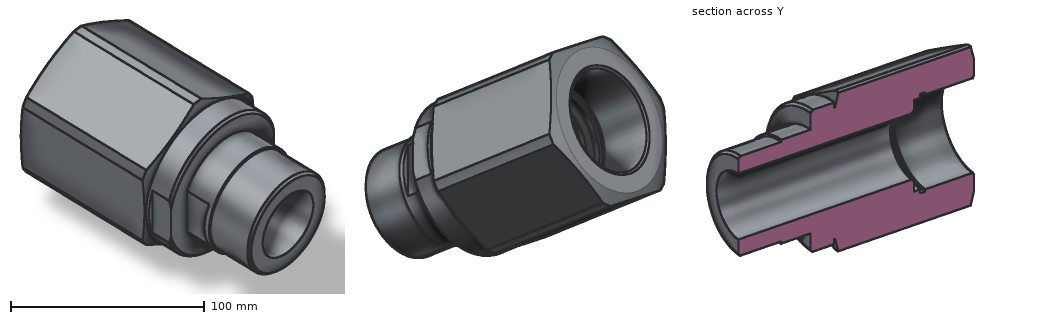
import cadquery as cq
import math

hex_end = 87.6
collar_start = 88.0
collar_end = 103.0
neck_end = 121.5
total_length = 148.5

across_flats = 85.0
corner_diameter = 95.0
hex_face_diameter = 79.0
hex_chamfer_length = 2.1

relief_diameter = 79.0
collar_diameter = across_flats
collar_chamfer = 1.5
neck_diameter = 62.4
spigot_diameter = 59.8
spigot_chamfer = 1.5

flats_start = 90.0
flats_end = 118.5
collar_across_flats = 79.7
neck_across_flats = 55.4

socket_mouth_diameter = 59.4
socket_chamfer_length = 0.9
socket_diameter = 56.4
socket_depth = 31.0
undercut_diameter = 59.1
undercut_end = 33.9
seat_diameter = 54.5
seat_depth = 37.5
bore_mouth_diameter = 42.8
bore_diameter = 39.2


def revolve_about_x(points):
    """Revolve a closed (x, radius) outline about the X axis."""
    return cq.Workplane("XY").polyline(points).close().revolve(360, (0, 0, 0), (1, 0, 0))


def make_hex_body():
    """Hexagon with rounded corners along its length and conical chamfers at both ends."""
    point_to_point = across_flats / math.cos(math.pi / 6)
    prism = (
        cq.Workplane("YZ")
        .transformed(rotate=(0, 0, 90))
        .polygon(6, point_to_point)
        .extrude(hex_end)
    )
    corner_radius = corner_diameter / 2
    face_radius = hex_face_diameter / 2
    envelope = revolve_about_x([
        (0, 0),
        (0, face_radius),
        (hex_chamfer_length, corner_radius),
        (hex_end - hex_chamfer_length, corner_radius),
        (hex_end, face_radius),
        (hex_end, 0),
    ])
    return prism.intersect(envelope)


def make_turned_end():
    """Relief, collar, neck and spigot as one stepped shaft."""
    relief_radius = relief_diameter / 2
    collar_radius = collar_diameter / 2
    neck_radius = neck_diameter / 2
    spigot_radius = spigot_diameter / 2
    return revolve_about_x([
        (hex_end, 0),
        (hex_end, relief_radius),
        (collar_start, relief_radius),
        (collar_start, collar_radius),
        (collar_end - collar_chamfer, collar_radius),
        (collar_end, collar_radius - collar_chamfer),
        (collar_end, neck_radius),
        (neck_end, neck_radius),
        (neck_end, spigot_radius),
        (total_length - spigot_chamfer, spigot_radius),
        (total_length, spigot_radius - spigot_chamfer),
        (total_length, 0),
    ])


def make_flat_cutters(start, end, width_across):
    """Two blocks that leave parallel flats, width_across apart, between two stations."""
    length = end - start
    block = cq.Workplane("XY").box(length, collar_diameter, collar_diameter)
    offset = (width_across + collar_diameter) / 2
    middle = (start + end) / 2
    return block.translate((middle, offset, 0)).union(block.translate((middle, -offset, 0)))


def make_bore():
    """Chamfered socket ending in an undercut, narrower seat and through bore with a chamfered mouth."""
    mouth_radius = socket_mouth_diameter / 2
    socket_radius = socket_diameter / 2
    seat_radius = seat_diameter / 2
    bore_mouth_radius = bore_mouth_diameter / 2
    bore_radius = bore_diameter / 2
    undercut_radius = undercut_diameter / 2
    bore_chamfer = bore_mouth_radius - bore_radius
    return revolve_about_x([
        (0, 0),
        (0, mouth_radius),
        (socket_chamfer_length, socket_radius),
        (socket_depth, socket_radius),
        (socket_depth, undercut_radius),
        (undercut_end, undercut_radius),
        (undercut_end, seat_radius),
        (seat_depth, seat_radius),
        (seat_depth, bore_mouth_radius),
        (seat_depth + bore_chamfer, bore_radius),
        (total_length, bore_radius),
        (total_length, 0),
    ])


result = (
    make_hex_body()
    .union(make_turned_end())
    .cut(make_flat_cutters(flats_start, collar_end, collar_across_flats))
    .cut(make_flat_cutters(collar_end, flats_end, neck_across_flats))
    .cut(make_bore())
)